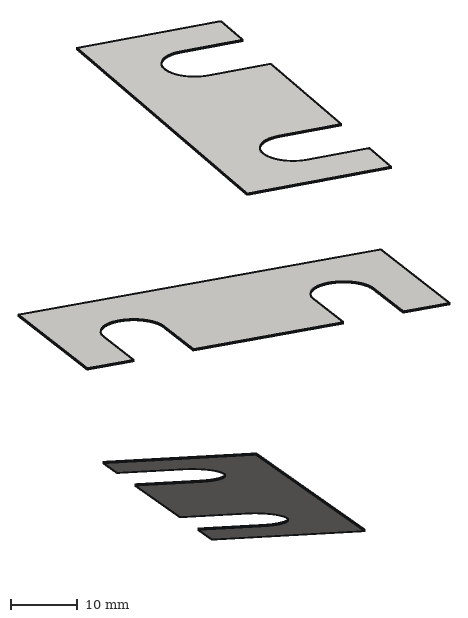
import cadquery as cq

length = 60.45
width = 23.9
thickness = 0.25
slot_width = 10.0
slot_depth = 15.3
slot_spacing = 35.0

slot_radius = slot_width / 2
back_edge = width / 2
slot_end_center = back_edge - slot_depth + slot_radius


def slot_cutter(center_x):
    """Slot running from its round end out through the +Y edge."""
    left = center_x - slot_radius
    right = center_x + slot_radius
    return (
        cq.Workplane("XY")
        .moveTo(left, back_edge)
        .lineTo(left, slot_end_center)
        .threePointArc((center_x, slot_end_center - slot_radius), (right, slot_end_center))
        .lineTo(right, back_edge)
        .close()
        .extrude(thickness)
    )


result = cq.Workplane("XY").box(length, width, thickness, centered=(True, True, False))
for side in (-1, 1):
    result = result.cut(slot_cutter(side * slot_spacing / 2))